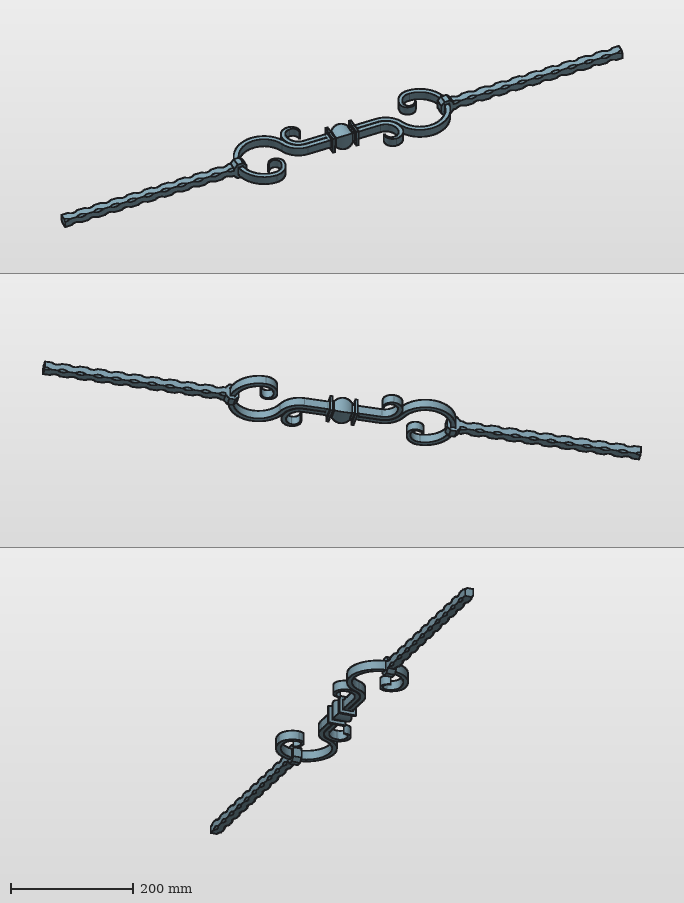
import cadquery as cq
import math

half_length = 500.0

strap_thickness = 8.0
strap_height = 16.0
slit = 1.0
neck_end_y = 65.0
bend_x = 30.0
ring_outer_radius = 50.0
ring_inner_radius = ring_outer_radius - strap_thickness

long_bend_inner_radius = bend_x + slit / 2
long_bend_outer_radius = long_bend_inner_radius + strap_thickness
short_bend_outer_radius = bend_x - slit / 2
short_bend_inner_radius = short_bend_outer_radius - strap_thickness
bend_center = (bend_x, neck_end_y)

center_distance = ring_inner_radius + long_bend_outer_radius
ring_y = neck_end_y + math.sqrt(center_distance**2 - bend_x**2)
ring_center = (0.0, ring_y)
tangent_angle = math.degrees(math.atan2(neck_end_y - ring_y, bend_x))

waist_thickness = 6.0
tip_thickness = 2.0
long_curl_radius = 25.0
long_tip_radius = 14.0
long_tip_angle = 80.0
short_curl_radius = 19.0
short_tip_radius = 15.0
short_tip_angle = -100.0

core_half_width = strap_height / 2
knob_half_width = 15.0
knob_end_half_width = 10.0
knob_half_length = 15.0
flange_y = 21.0
flange_thickness = 4.0
shoulder_length = 5.0
shoulder_half_width = 9.0

bar_width = 15.0
collar_height = 2 * knob_half_width
collar_length = 22.0
collar_chamfer_length = 6.0
collar_chamfer_height = 7.0
collar_y = ring_y + (ring_outer_radius + ring_inner_radius) / 2

notch_pitch = 30.0
notch_length = 17.0
notch_depth = 2.5
first_notch_offset = 20.0
first_edge_pair = (135, 315)
second_edge_pair = (45, 225)


def on_circle(center, radius, degrees):
    angle = math.radians(degrees)
    return (center[0] + radius * math.cos(angle), center[1] + radius * math.sin(angle))


def arc_to(outline, center, start_radius, end_radius, start, end):
    """Continue an outline by an arc about a centre, with an even change of radius."""
    middle = on_circle(center, (start_radius + end_radius) / 2, (start + end) / 2)
    return outline.threePointArc(middle, on_circle(center, end_radius, end))


def round_to(outline, center, radius, start, end):
    """Continue an outline along a circle."""
    return arc_to(outline, center, radius, radius, start, end)


def curl_to(outline, curl_center, curl_radius, tip_center, tip_radius, angles):
    """Continue an outline out along a curl, across its blunt tip and back along the inside."""
    start, waist, tip = angles
    outline = round_to(outline, curl_center, curl_radius, start, waist)
    outline = round_to(outline, tip_center, tip_radius, waist, tip)
    tip_inner_radius = tip_radius - tip_thickness
    tip_waist_radius = tip_radius - waist_thickness
    outline = outline.lineTo(*on_circle(tip_center, tip_inner_radius, tip))
    outline = arc_to(outline, tip_center, tip_inner_radius, tip_waist_radius, tip, waist)
    curl_waist_radius = curl_radius - waist_thickness
    return arc_to(outline, curl_center, curl_waist_radius, curl_radius - strap_thickness, waist, start)


def make_long_strap():
    """Strap that rises from the knob, runs round the ring and ends in the inward curl."""
    curl_center = (long_curl_radius - ring_outer_radius, ring_y)
    tip_center = (curl_center[0], ring_y - long_curl_radius + long_tip_radius)
    curl_angles = (180, 270, 360 + long_tip_angle)

    outline = cq.Workplane("XY").moveTo(-slit / 2, flange_y).lineTo(-slit / 2, neck_end_y)
    outline = round_to(outline, bend_center, long_bend_inner_radius, 180, 180 + tangent_angle)
    outline = round_to(outline, ring_center, ring_outer_radius, tangent_angle, 180)
    outline = curl_to(outline, curl_center, long_curl_radius, tip_center, long_tip_radius, curl_angles)
    outline = round_to(outline, ring_center, ring_inner_radius, 180, tangent_angle)
    outline = round_to(outline, bend_center, long_bend_outer_radius, 180 + tangent_angle, 180)
    outline = outline.lineTo(-slit / 2 - strap_thickness, flange_y).close()
    return outline.extrude(strap_height / 2, both=True)


def make_short_strap():
    """Strap that follows the long one round the neck bend and curls down to its tip."""
    curl_center = (bend_x, neck_end_y + short_bend_outer_radius - short_curl_radius)
    tip_center = (curl_center[0] + short_curl_radius - short_tip_radius, curl_center[1])
    curl_angles = (90, 0, short_tip_angle)

    outline = cq.Workplane("XY").moveTo(slit / 2, flange_y).lineTo(slit / 2, neck_end_y)
    outline = round_to(outline, bend_center, short_bend_outer_radius, 180, 90)
    outline = curl_to(outline, curl_center, short_curl_radius, tip_center, short_tip_radius, curl_angles)
    outline = round_to(outline, bend_center, short_bend_inner_radius, 90, 180)
    outline = outline.lineTo(slit / 2 + strap_thickness, flange_y).close()
    return outline.extrude(strap_height / 2, both=True)


def make_knob_slab():
    """Knob outline in X and Y, as thick in Z as the knob is wide."""
    inner_face_y = flange_y - flange_thickness / 2
    outer_face_y = flange_y + flange_thickness / 2
    outer_core_y = outer_face_y + shoulder_length
    barrel_rise = knob_half_width - knob_end_half_width
    barrel_radius = (knob_half_length**2 + barrel_rise**2) / (2 * barrel_rise)
    barrel_center = (knob_half_width - barrel_radius, 0)
    barrel_end_angle = math.degrees(math.asin(knob_half_length / barrel_radius))

    quarter = cq.Workplane("XY").lineTo(knob_half_width, 0)
    quarter = round_to(quarter, barrel_center, barrel_radius, 0, barrel_end_angle)
    quarter = quarter.lineTo(core_half_width, knob_half_length)
    quarter = quarter.lineTo(shoulder_half_width, inner_face_y).lineTo(knob_half_width, inner_face_y)
    quarter = quarter.lineTo(knob_half_width, outer_face_y).lineTo(shoulder_half_width, outer_face_y)
    quarter = quarter.lineTo(core_half_width, outer_core_y)
    quarter = quarter.lineTo(0, outer_core_y).close().extrude(knob_half_width, both=True)
    half = quarter.union(quarter.mirror("YZ"))
    return half.union(half.mirror("XZ"))


def make_knob():
    """Square-section knob: its outline crossed with the same outline turned about Y."""
    slab = make_knob_slab()
    return slab.intersect(slab.rotate((0, 0, 0), (0, 1, 0), 90))


def make_scroll():
    """Knob with a pair of straps on each side, alike under a half turn about Z."""
    straps = make_long_strap().union(make_short_strap())
    turned_straps = straps.rotate((0, 0, 0), (0, 0, 1), 180)
    return make_knob().union(straps).union(turned_straps)


def make_notch_cutters(first_offset, edge_angles):
    """Round cutters spaced along one pair of opposite bar edges."""
    radius = (notch_length**2 / 4 + notch_depth**2) / (2 * notch_depth)
    axis_distance = bar_width / math.sqrt(2) - notch_depth + radius
    count = math.ceil((half_length - collar_y - first_offset) / notch_pitch)
    cutters = []
    for i in range(count):
        y = half_length - first_offset - i * notch_pitch
        cutter = cq.Workplane("XY").center(axis_distance, y).circle(radius).extrude(bar_width, both=True)
        for angle in edge_angles:
            cutters.append(cutter.rotate((0, 0, 0), (0, 1, 0), -angle))
    return cutters


def make_collar():
    """Block chamfered along its four edges across X, flush with the bar on both sides."""
    half_collar = collar_length / 2
    top_z = collar_height / 2
    shoulder_z = top_z - collar_chamfer_height
    flat_half = half_collar - collar_chamfer_length
    corners = [(half_collar, shoulder_z), (flat_half, top_z), (-flat_half, top_z), (-half_collar, shoulder_z)]
    corners += [(-y, -z) for y, z in corners]
    collar = cq.Workplane("YZ").polyline(corners).close().extrude(bar_width / 2, both=True)
    return collar.translate((0, collar_y, 0))


def make_bar():
    """Bar on the +Y side, with its collar opened for the ring to pass through."""
    bar_length = half_length - collar_y
    bar = cq.Workplane("XY").box(bar_width, bar_length, bar_width, centered=(True, False, True))
    bar = bar.translate((0, collar_y, 0))
    first_cutters = make_notch_cutters(first_notch_offset, first_edge_pair)
    second_cutters = make_notch_cutters(0, second_edge_pair)
    for cutter in first_cutters + second_cutters:
        bar = bar.cut(cutter)

    return bar.union(make_collar()).cut(make_long_strap())


scroll = make_scroll()
upper_bar = make_bar()
bars = [upper_bar, upper_bar.mirror("XZ")]

result = cq.Compound.makeCompound([scroll.val(), *[bar.val() for bar in bars]])